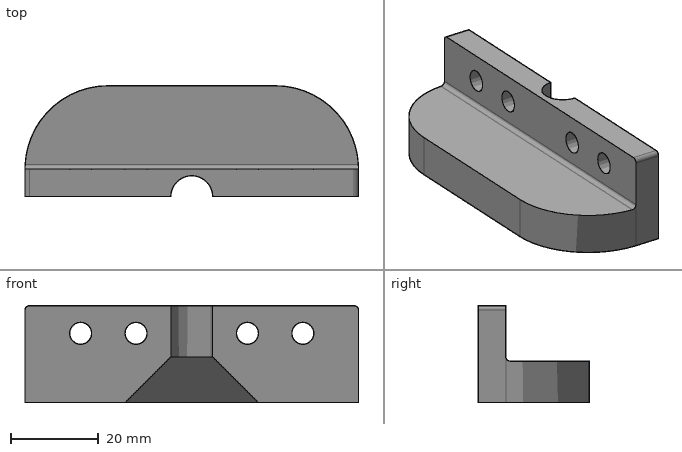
import cadquery as cq

length = 76.2
wall_thickness = 6.3
wall_height = 22.2
shelf_depth = 19.05
shelf_height = 9.5
shelf_corner_radius = shelf_depth
edge_radius = 1.0

hole_diameter = 4.95
hole_height = 15.85
hole_offsets = (12.7, 25.4)

channel_diameter = 9.5
channel_radius = channel_diameter / 2
flare_radius = 15.25
flare_height = flare_radius - channel_radius

half_length = length / 2
depth = wall_thickness + shelf_depth


def make_wall():
    """Upright wall with its two top end edges rounded."""
    wall = cq.Workplane("XY").box(length, wall_thickness, wall_height, centered=(True, False, False))
    return wall.edges("|Y and >Z").fillet(edge_radius)


def make_base(height):
    """Prism of the base outline, with two large rounded back corners."""
    straight = half_length - shelf_corner_radius
    diagonal = shelf_corner_radius * 0.5**0.5
    outline = (
        cq.Workplane("XY")
        .moveTo(-half_length, 0)
        .lineTo(half_length, 0)
        .lineTo(half_length, wall_thickness)
        .threePointArc((straight + diagonal, wall_thickness + diagonal), (straight, depth))
        .lineTo(-straight, depth)
        .threePointArc((-straight - diagonal, wall_thickness + diagonal), (-half_length, wall_thickness))
        .close()
    )
    return outline.extrude(height)


def make_inner_fillet():
    """Concave strip blending the shelf top into the back of the wall."""
    strip = (
        cq.Workplane("YZ")
        .moveTo(wall_thickness, shelf_height)
        .lineTo(wall_thickness + edge_radius, shelf_height)
        .radiusArc((wall_thickness, shelf_height + edge_radius), edge_radius)
        .close()
        .extrude(half_length, both=True)
    )
    return strip.intersect(make_base(wall_height))


def make_channel():
    """Vertical round channel in the front face, flaring into a cone at the base."""
    return (
        cq.Workplane("XZ")
        .polyline(
            [
                (0, 0),
                (flare_radius, 0),
                (channel_radius, flare_height),
                (channel_radius, wall_height),
                (0, wall_height),
            ]
        )
        .close()
        .revolve(360, (0, 0, 0), (0, 1, 0))
    )


def make_holes():
    """Mounting holes through the wall, mirrored about the channel."""
    points = [(side * offset, hole_height) for side in (-1, 1) for offset in hole_offsets]
    return cq.Workplane("XZ").pushPoints(points).circle(hole_diameter / 2).extrude(-wall_thickness)


result = make_wall().union(make_base(shelf_height)).union(make_inner_fillet())
result = result.cut(make_channel()).cut(make_holes())